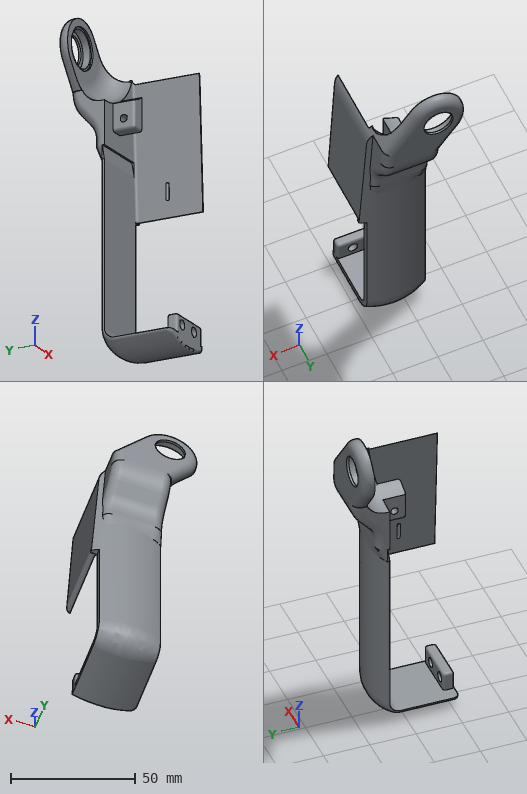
import cadquery as cq
import math

TOTAL_HEIGHT = 143.5
FRONT_Y = -30.1
BACK_Y = 15.8

RING_RADIUS = 12.5
RING_Z = TOTAL_HEIGHT - RING_RADIUS
HOLE_DIAMETER = 12.8
COUNTERBORE_DIAMETER = 16.4
COUNTERBORE_DEPTH = 4.0
MOUTH_DIAMETER = 18.2
MOUTH_DEPTH = 0.7

THICKNESS = 5.0
RING_FACE_Y = BACK_Y - THICKNESS
STRAP_LEFT = -1.3
STRAP_RIGHT = 25.7
STRAP_CROWN_X = 13.9
STRAP_BACK_RADIUS = 30.6
LOWER_BEND_RADIUS = 9.8

ARM_ANGLE = math.radians(52.5)
ARM_BACK_FILLET = 3.9
ARM_BOTTOM_Z = 88.0
ARM_BLEND_BOTTOM_Z = 82.0
NOTCH_DEPTH = 0.9
OFFSET_ANGLE = math.radians(42.5)
OFFSET_TOP_Z = 112.8
OFFSET_UPPER_RADIUS = 14.4
OFFSET_LOWER_RADIUS = 10.8

POCKET_RADIUS = 24.0
POCKET_FILLET = 9.5

WING_TILT = math.radians(3.0)
WING_BOTTOM_X = 28.5
WING_BOTTOM_Z = 62.9
WING_THICKNESS = 2.2
WING_ROOT_FILLET = 1.1
WING_EDGE_FILLET = 2.0
WING_TOP_RADIUS = 8.6
WING_SLOT_LENGTH = 7.6
WING_SLOT_WIDTH = 1.5
WING_SLOT_Y = -14.4
WING_SLOT_Z = 74.0

BLOCK_LEFT = 6.2
BLOCK_WIDTH = 6.9
BLOCK_FRONT_Y = -9.9
BLOCK_BOTTOM_Z = 95.9
BLOCK_FILLET = 1.1
BLOCK_HOLE_DIAMETER = 3.2
BLOCK_HOLE_Y = -4.9
BLOCK_HOLE_Z = 100.8

LIP_LEFT = 4.7
LIP_TOP_Z = 13.0
LIP_THICKNESS = 4.7
LIP_FILLET = 1.1
LIP_HOLE_DIAMETER = 4.2
LIP_HOLE_Z = 9.0
LIP_HOLE_XS = (8.9, 19.0)
FOOT_CORNER_FILLET = 2.6
FOOT_EDGE_FILLET = 1.3

MARGIN = 1.5


def box(x0, x1, y0, y1, z0, z1):
    return cq.Workplane("XY").box(x1 - x0, y1 - y0, z1 - z0, centered=False).translate((x0, y0, z0))


def along_y(y):
    """XZ sketch plane at the given y; its extrusions go towards +Y."""
    return cq.Workplane(cq.Plane((0, y, 0), (1, 0, 0), (0, 1, 0)))


def at(x, z):
    """Sketch point of an along_y plane, whose second axis is -Z."""
    return (x, -z)


def wing_x(z, inset=0.0):
    """X of the wing's outer side at height z, or of a line the given distance inside it."""
    return WING_BOTTOM_X - (z - WING_BOTTOM_Z) * math.tan(WING_TILT) - inset / math.cos(WING_TILT)


def arm_corner(inset):
    """Point where the arm's upper edge meets the wing's outer side or a line inside it."""
    slope = -math.tan(ARM_ANGLE)
    tilt = math.tan(WING_TILT)
    touch_x = RING_RADIUS * math.sin(ARM_ANGLE)
    touch_z = RING_Z + RING_RADIUS * math.cos(ARM_ANGLE)
    x = touch_x + (wing_x(touch_z, inset) - touch_x) / (1 + slope * tilt)
    return x, touch_z + slope * (x - touch_x)


def start_outline(y):
    """Left side of the strap, then around the ring to where the arm's upper edge leaves it."""
    nx, nz = math.sin(ARM_ANGLE), math.cos(ARM_ANGLE)
    left_x, left_z = -RING_RADIUS * nx, RING_Z - RING_RADIUS * nz
    left_corner_z = left_z - (STRAP_LEFT - left_x) * math.tan(ARM_ANGLE)
    return (
        along_y(y)
        .moveTo(*at(STRAP_LEFT, 0))
        .lineTo(*at(STRAP_LEFT, left_corner_z))
        .lineTo(*at(left_x, left_z))
        .threePointArc(at(left_x, RING_Z + RING_RADIUS * nz), at(-left_x, RING_Z + RING_RADIUS * nz))
    )


def outline_prism(y0, y1):
    """Whole front silhouette: strap, ring, arm and wing."""
    corner_x, corner_z = arm_corner(0)
    turn = math.pi / 2 - WING_TILT - ARM_ANGLE
    tangent = WING_TOP_RADIUS * math.tan(turn / 2)
    start = (corner_x - tangent * math.cos(ARM_ANGLE), corner_z + tangent * math.sin(ARM_ANGLE))
    end = (corner_x + tangent * math.sin(WING_TILT), corner_z - tangent * math.cos(WING_TILT))
    outline = (
        start_outline(y0)
        .lineTo(*at(*start))
        .tangentArcPoint(at(*end), relative=False)
        .lineTo(*at(WING_BOTTOM_X, WING_BOTTOM_Z))
        .lineTo(*at(STRAP_RIGHT, WING_BOTTOM_Z))
        .lineTo(*at(STRAP_RIGHT, 0))
    )
    return outline.close().extrude(y1 - y0)


def arm_prism(y0, y1):
    """Silhouette of the arm alone, ending at the wing's inner side."""
    outline = (
        start_outline(y0)
        .lineTo(*at(*arm_corner(WING_THICKNESS)))
        .lineTo(*at(wing_x(0, WING_THICKNESS), 0))
    )
    return outline.close().extrude(y1 - y0)


def arm_prism_below_ring():
    """Silhouette of the arm where it has the strap's straight left side."""
    points = [
        at(STRAP_LEFT, 0),
        at(STRAP_LEFT, TOTAL_HEIGHT),
        at(wing_x(TOTAL_HEIGHT, WING_THICKNESS), TOTAL_HEIGHT),
        at(wing_x(0, WING_THICKNESS), 0),
    ]
    return along_y(0).polyline(points).close().extrude(BACK_Y)


def strap_edge_y(x):
    """Depth of the strap's rounded outside below its crown."""
    return STRAP_BACK_RADIUS - math.sqrt(STRAP_BACK_RADIUS**2 - (x - STRAP_CROWN_X) ** 2)


def strap():
    """Foot, lower bend and strap: one section swept along the crown of the outside."""
    bend = LOWER_BEND_RADIUS
    mid = bend * math.sin(math.pi / 4)
    path = (
        cq.Workplane("YZ")
        .moveTo(FRONT_Y, 0)
        .lineTo(THICKNESS - bend, 0)
        .threePointArc((THICKNESS - bend + mid, bend - mid), (THICKNESS, bend))
        .lineTo(THICKNESS, RING_Z)
    )
    right = WING_BOTTOM_X + MARGIN / 2
    section = (
        along_y(FRONT_Y)
        .moveTo(*at(STRAP_LEFT, THICKNESS))
        .lineTo(*at(STRAP_LEFT, strap_edge_y(STRAP_LEFT)))
        .threePointArc(at(STRAP_CROWN_X, 0), at(right, strap_edge_y(right)))
        .lineTo(*at(right, THICKNESS))
        .close()
    )
    return section.sweep(path)


def arm_plate():
    """Part of the arm at full ring height: ring, flat back and rounded rim."""
    plate = arm_prism(0, BACK_Y).faces(">Y").edges().fillet(ARM_BACK_FILLET)
    return plate.intersect(box(-RING_RADIUS, WING_BOTTOM_X, 0, BACK_Y, OFFSET_TOP_Z, TOTAL_HEIGHT))


def arm_offset():
    """Part of the arm with the S-shaped back, from the strap up to the flat back behind the ring."""
    lower, upper = OFFSET_LOWER_RADIUS, OFFSET_UPPER_RADIUS
    sin, cos = math.sin(OFFSET_ANGLE), math.cos(OFFSET_ANGLE)
    half_sin, half_cos = math.sin(OFFSET_ANGLE / 2), math.cos(OFFSET_ANGLE / 2)
    slant = (BACK_Y - THICKNESS - (lower + upper) * (1 - cos)) / sin
    bottom_z = OFFSET_TOP_Z - (lower + upper) * sin - slant * cos
    solid = (
        cq.Workplane("YZ", origin=(STRAP_LEFT, 0, 0))
        .moveTo(0, ARM_BOTTOM_Z)
        .lineTo(THICKNESS, ARM_BOTTOM_Z)
        .lineTo(THICKNESS, bottom_z)
        .threePointArc(
            (THICKNESS + lower * (1 - half_cos), bottom_z + lower * half_sin),
            (THICKNESS + lower * (1 - cos), bottom_z + lower * sin),
        )
        .lineTo(BACK_Y - upper * (1 - cos), OFFSET_TOP_Z - upper * sin)
        .threePointArc(
            (BACK_Y - upper * (1 - half_cos), OFFSET_TOP_Z - upper * half_sin),
            (BACK_Y, OFFSET_TOP_Z),
        )
        .lineTo(0, OFFSET_TOP_Z)
        .close()
        .extrude(WING_BOTTOM_X - STRAP_LEFT)
    )
    solid = solid.intersect(arm_prism_below_ring())
    for side in ("<X", ">X"):
        solid = solid.faces(side).edges("not (<Y or <Z or >Z)").fillet(ARM_BACK_FILLET)
    return solid


def blend_section(z, back_y, back_is_flat):
    """Section through the strap: flat inside, with the given outside y as a function of x."""
    left = STRAP_LEFT
    right = wing_x(ARM_BOTTOM_Z, WING_THICKNESS)
    reach = ARM_BACK_FILLET

    def back(x):
        return (x, back_y(x))

    section = (
        cq.Workplane("XY", origin=(0, 0, z))
        .moveTo(left, 0)
        .lineTo(*back(left))
        .threePointArc(back(left + reach / 2), back(left + reach))
    )
    if back_is_flat:
        section = section.lineTo(*back(right - reach))
    else:
        section = section.threePointArc(back((left + right) / 2), back(right - reach))
    section = section.threePointArc(back(right - reach / 2), back(right)).lineTo(right, 0)
    return section.close().val()


def arm_blend():
    """Transition from the strap's arched outside to the arm's flat back with rounded edges."""
    right = wing_x(ARM_BOTTOM_Z, WING_THICKNESS)
    fillet = ARM_BACK_FILLET

    def arched(x):
        return THICKNESS - strap_edge_y(x)

    def rounded(x):
        into_fillet = max(0, fillet - min(x - STRAP_LEFT, right - x))
        return THICKNESS - fillet + math.sqrt(fillet**2 - into_fillet**2)

    lower = blend_section(ARM_BLEND_BOTTOM_Z, arched, False)
    upper = blend_section(ARM_BOTTOM_Z, rounded, True)
    return cq.Workplane(cq.Solid.makeLoft([lower, upper], True))


def notch():
    """Shallow wedge under the arm, where the strap's inner face slopes back."""
    profile = [(0, ARM_BLEND_BOTTOM_Z), (NOTCH_DEPTH, ARM_BOTTOM_Z), (0, ARM_BOTTOM_Z)]
    plane = cq.Workplane("YZ", origin=(STRAP_LEFT, 0, 0))
    return plane.polyline(profile).close().extrude(WING_BOTTOM_X - STRAP_LEFT)


def wing_slot():
    """Round-bottomed upright groove in the wing's inner face."""
    radius = WING_SLOT_WIDTH / 2
    straight = WING_SLOT_LENGTH - WING_SLOT_WIDTH
    slot = cq.Workplane("XY").cylinder(straight, radius)
    for end in (-straight / 2, straight / 2):
        slot = slot.union(cq.Workplane("XY", origin=(0, 0, end)).sphere(radius))
    return slot.translate((wing_x(WING_SLOT_Z, WING_THICKNESS), WING_SLOT_Y, WING_SLOT_Z))


def wing():
    """Thin flange with a concave root, extruded along its lean."""
    lean = (-math.sin(WING_TILT), 0, math.cos(WING_TILT))
    across = (math.cos(WING_TILT), 0, math.sin(WING_TILT))
    plane = cq.Plane((WING_BOTTOM_X, 0, WING_BOTTOM_Z), across, lean)
    inner = -WING_THICKNESS
    root = WING_ROOT_FILLET
    bow = root * (1 - math.sin(math.pi / 4))
    flange = (
        cq.Workplane(plane)
        .workplane(offset=-MARGIN)
        .moveTo(0, FRONT_Y)
        .lineTo(0, NOTCH_DEPTH)
        .lineTo(inner - root, NOTCH_DEPTH)
        .lineTo(inner - root, 0)
        .threePointArc((inner - bow, -bow), (inner, -root))
        .lineTo(inner, FRONT_Y)
        .close()
        .extrude(TOTAL_HEIGHT - WING_BOTTOM_Z)
    )
    above_bottom = box(0, WING_BOTTOM_X, FRONT_Y, NOTCH_DEPTH, WING_BOTTOM_Z, TOTAL_HEIGHT)
    flange = flange.intersect(above_bottom)
    outer_face = flange.faces(cq.selectors.DirectionMinMaxSelector(cq.Vector(*across), True))
    flange = outer_face.edges("<Y or <Z").fillet(WING_EDGE_FILLET)
    flange = flange.intersect(outline_prism(FRONT_Y, NOTCH_DEPTH))
    return flange.cut(wing_slot())


def block():
    """Drilled block on the front of the arm; the pocket later shapes its top."""
    right = BLOCK_LEFT + BLOCK_WIDTH
    solid = box(BLOCK_LEFT, right, BLOCK_FRONT_Y, MARGIN, BLOCK_BOTTOM_Z, RING_Z)
    solid = solid.edges("(<Y and |Z) or (<Z and |Y) or (<Y and <Z)").fillet(BLOCK_FILLET)
    hole = (
        cq.Workplane("YZ")
        .center(BLOCK_HOLE_Y, BLOCK_HOLE_Z)
        .circle(BLOCK_HOLE_DIAMETER / 2)
        .extrude(right + MARGIN)
    )
    return solid.cut(hole)


def pocket():
    """Round clearance in front of the ring, with a large floor fillet."""
    depth = RING_FACE_Y - BLOCK_FRONT_Y + MARGIN
    return (
        along_y(RING_FACE_Y - depth)
        .center(*at(0, RING_Z))
        .circle(POCKET_RADIUS)
        .extrude(depth)
        .faces(">Y")
        .edges()
        .fillet(POCKET_FILLET)
    )


def ring_bore():
    """Through hole with a deep counterbore and a shallow, wider mouth, all entered from the front."""
    steps = (
        (MOUTH_DIAMETER, MOUTH_DEPTH),
        (COUNTERBORE_DIAMETER, COUNTERBORE_DEPTH),
        (HOLE_DIAMETER, THICKNESS + MARGIN),
    )
    bore = cq.Workplane("XZ")
    for diameter, depth in steps:
        bore = bore.union(along_y(RING_FACE_Y).center(*at(0, RING_Z)).circle(diameter / 2).extrude(depth))
    return bore


def round_foot(body):
    """Round the foot's free corner and the lower edge of its front end."""
    corner = cq.selectors.BoxSelector(
        (STRAP_LEFT - MARGIN, FRONT_Y - MARGIN, 0), (STRAP_LEFT + MARGIN, FRONT_Y + MARGIN, LIP_TOP_Z)
    )
    body = body.edges("|Z").edges(corner).fillet(FOOT_CORNER_FILLET)
    return body.faces("<Y").edges("<Z").fillet(FOOT_EDGE_FILLET)


def lip():
    """Upright bar across the front end of the foot."""
    back = FRONT_Y + LIP_THICKNESS
    solid = box(LIP_LEFT, STRAP_RIGHT, FRONT_Y, back, THICKNESS, LIP_TOP_Z)
    return solid.edges("|Z or >Z").fillet(LIP_FILLET)


def lip_holes():
    holes = along_y(FRONT_Y - MARGIN).pushPoints([at(x, LIP_HOLE_Z) for x in LIP_HOLE_XS])
    return holes.circle(LIP_HOLE_DIAMETER / 2).extrude(LIP_THICKNESS + 2 * MARGIN)


body = round_foot(strap().intersect(outline_prism(FRONT_Y, BACK_Y)))
body = body.union(arm_blend()).cut(notch()).union(arm_offset()).union(arm_plate())
body = body.union(block()).cut(pocket()).cut(ring_bore())
result = body.union(wing()).union(lip()).cut(lip_holes()).solids()